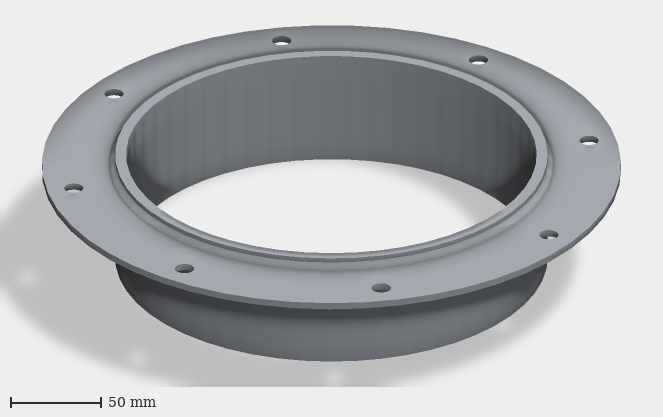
import cadquery as cq

tube_height = 65.0
tube_outer_diameter = 239.0
tube_bore_diameter = 227.0

flange_diameter = 320.0
flange_thickness = 4.0
tube_projection = 6.0
flange_top = tube_height - tube_projection
flange_bottom = flange_top - flange_thickness

weld_leg = 3.5

bolt_count = 8
bolt_hole_diameter = 10.5
bolt_circle_diameter = 290.0


def make_body():
    """Revolve the half section of tube, flange and weld about Z."""
    bore_radius = tube_bore_diameter / 2
    tube_radius = tube_outer_diameter / 2
    flange_radius = flange_diameter / 2
    section = (
        cq.Workplane("XZ")
        .moveTo(bore_radius, 0)
        .lineTo(tube_radius, 0)
        .lineTo(tube_radius, flange_bottom)
        .lineTo(flange_radius, flange_bottom)
        .lineTo(flange_radius, flange_top)
        .lineTo(tube_radius + weld_leg, flange_top)
        .lineTo(tube_radius, flange_top + weld_leg)
        .lineTo(tube_radius, tube_height)
        .lineTo(bore_radius, tube_height)
        .close()
    )
    return section.revolve(360, (0, 0, 0), (0, 1, 0))


def make_bolt_holes():
    """Cutters for the bolt holes, evenly spaced with one on +X."""
    return (
        cq.Workplane("XY")
        .workplane(offset=flange_bottom)
        .polarArray(bolt_circle_diameter / 2, 0, 360, bolt_count)
        .circle(bolt_hole_diameter / 2)
        .extrude(flange_thickness)
    )


result = make_body().cut(make_bolt_holes())